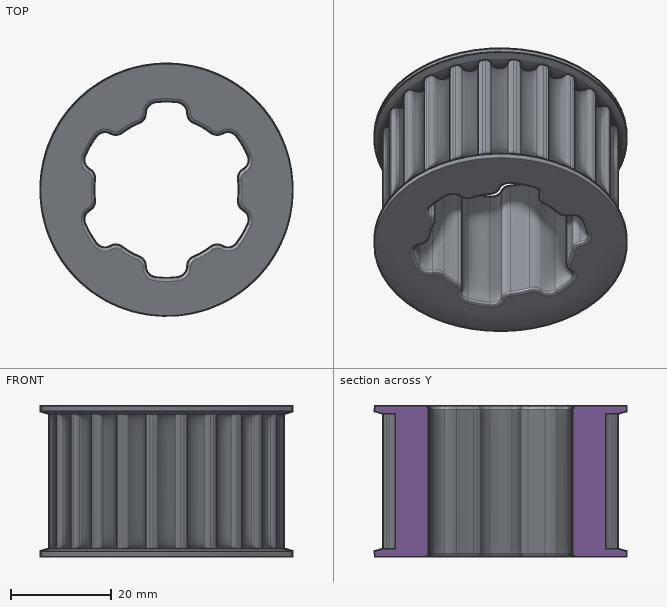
import cadquery as cq
import math

flange_radius = 25.2
total_height = 30.15

rim_height = 1.15
flange_thickness = 1.6
cone_inner_radius = 23.7
rim_edge_radius = 0.1

tooth_count = 24
tooth_tip_radius = 23.65
groove_floor_radius = 21.05
groove_radius = 1.7
groove_flank_angle = math.radians(15)
groove_lip_radius = 0.9

slot_count = 6
slot_root_radius = 17.55
slot_half_width = 4.1
slot_corner_radius = 2.1
rib_radius = 14.4
bore_edge_radius = 0.7


def on_circle(radius, angle):
    """Point at an angle measured from +Y towards +X."""
    return (radius * math.sin(angle), radius * math.cos(angle))


def turn(point, angle):
    """Turn a point about the axis, from +Y towards +X."""
    return on_circle(math.hypot(*point), math.atan2(*point) + angle)


def mirror(point):
    """Mirror a point across the Y axis."""
    return (-point[0], point[1])


def corner_middle(centre, radius, start, end):
    """Middle of the shorter arc from start to end."""
    direction_x = start[0] + end[0] - 2 * centre[0]
    direction_y = start[1] + end[1] - 2 * centre[1]
    scale = radius / math.hypot(direction_x, direction_y)
    return (centre[0] + scale * direction_x, centre[1] + scale * direction_y)


def repeated_outline(count, start, steps):
    """Closed outline of count turned copies of one period.

    Each step is (middle, end): an arc through middle, or a straight line if middle is None.
    """
    outline = cq.Workplane("XY").moveTo(*start)
    for i in range(count):
        angle = i * 2 * math.pi / count
        for middle, end in steps:
            if middle is None:
                outline = outline.lineTo(*turn(end, angle))
            else:
                outline = outline.threePointArc(turn(middle, angle), turn(end, angle))
    return outline.close()


def make_toothed_body():
    """Core with round-bottomed grooves: floor arc, straight flanks and rounded lips."""
    pitch = 2 * math.pi / tooth_count
    groove_centre_y = groove_floor_radius + groove_radius
    lip_centre_radius = tooth_tip_radius - groove_lip_radius
    flank_cos = math.cos(groove_flank_angle)
    flank_sin = math.sin(groove_flank_angle)

    square_step = groove_radius + groove_lip_radius - groove_centre_y * flank_sin
    along_step = math.sqrt(lip_centre_radius**2 - square_step**2)
    lip_centre = (
        square_step * flank_cos + along_step * flank_sin,
        along_step * flank_cos - square_step * flank_sin,
    )
    flank_bottom = (groove_radius * flank_cos, groove_centre_y - groove_radius * flank_sin)
    flank_top = (
        lip_centre[0] - groove_lip_radius * flank_cos,
        lip_centre[1] + groove_lip_radius * flank_sin,
    )
    tip_start = on_circle(tooth_tip_radius, math.atan2(*lip_centre))
    lip_middle = corner_middle(lip_centre, groove_lip_radius, flank_top, tip_start)

    steps = [
        ((0, groove_floor_radius), flank_bottom),
        (None, flank_top),
        (lip_middle, tip_start),
        (on_circle(tooth_tip_radius, pitch / 2), turn(mirror(tip_start), pitch)),
        (turn(mirror(lip_middle), pitch), turn(mirror(flank_top), pitch)),
        (None, turn(mirror(flank_bottom), pitch)),
    ]
    return repeated_outline(tooth_count, mirror(flank_bottom), steps).extrude(total_height)


def make_bore():
    """Cutter for the splined bore; each slot side is an S of two tangent corners."""
    pitch = 2 * math.pi / slot_count

    root_centre_x = slot_half_width - slot_corner_radius
    root_centre_y = math.sqrt((slot_root_radius - slot_corner_radius) ** 2 - root_centre_x**2)
    root_centre = (root_centre_x, root_centre_y)
    root_end = on_circle(slot_root_radius, math.atan2(*root_centre))
    joint = (slot_half_width, root_centre_y)

    rib_corner_radius = (
        root_centre_y**2 / (rib_radius - slot_half_width) - rib_radius - slot_half_width
    ) / 2
    rib_centre = (slot_half_width + rib_corner_radius, root_centre_y)
    rib_start = on_circle(rib_radius, math.atan2(*rib_centre))

    root_middle = corner_middle(root_centre, slot_corner_radius, root_end, joint)
    rib_middle = corner_middle(rib_centre, rib_corner_radius, joint, rib_start)

    steps = [
        ((0, slot_root_radius), root_end),
        (root_middle, joint),
        (rib_middle, rib_start),
        (on_circle(rib_radius, pitch / 2), turn(mirror(rib_start), pitch)),
        (turn(mirror(rib_middle), pitch), turn(mirror(joint), pitch)),
        (turn(mirror(root_middle), pitch), turn(mirror(root_end), pitch)),
    ]
    return repeated_outline(slot_count, mirror(root_end), steps).extrude(total_height)


def make_flange():
    """Lower flange disc, outer face at the bottom and cone on top."""
    profile = (
        cq.Workplane("XZ")
        .lineTo(flange_radius, 0)
        .lineTo(flange_radius, rim_height)
        .lineTo(cone_inner_radius, flange_thickness)
        .lineTo(0, flange_thickness)
        .close()
    )
    disc = profile.revolve(360, (0, 0, 0), (0, 1, 0))
    rim_edges = cq.selectors.RadiusNthSelector(-1)
    return disc.edges(rim_edges).fillet(rim_edge_radius)


def is_bore_edge(edge):
    point = edge.startPoint()
    return math.hypot(point.x, point.y) < groove_floor_radius


lower_flange = make_flange()
upper_flange = lower_flange.mirror("XY").translate((0, 0, total_height))
pulley = make_toothed_body().union(lower_flange).union(upper_flange).cut(make_bore())

result = pulley.edges("<Z or >Z").filter(is_bore_edge).fillet(bore_edge_radius)